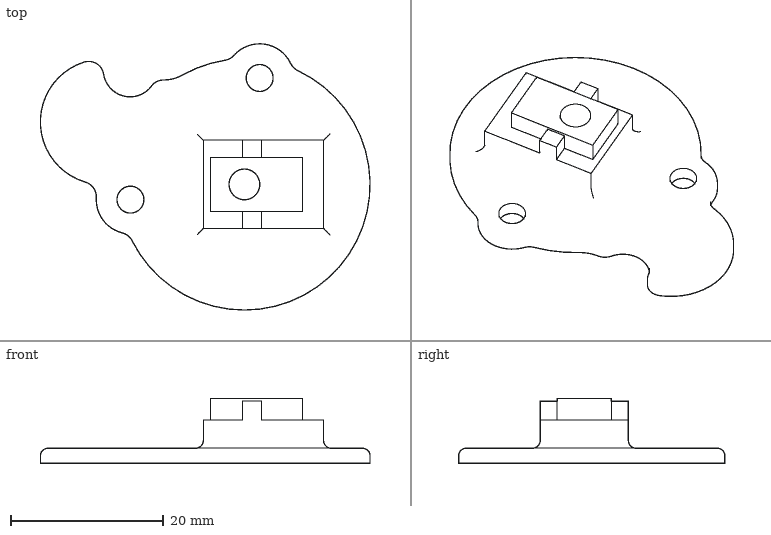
import cadquery as cq
import math

plate_thickness = 2.0
rim_radius = 1.0
disc_center = (0.0, 0.0)
disc_radius = 16.5

ear_radius = 4.5
ear_hole_diameter = 3.5
upper_ear_center = (2.0, 13.96)
lower_ear_center = (-14.95, -2.0)
blend_radius = 2.0

tail_center = (-18.53, 8.2)
tail_radius = 8.25
tail_tip_radius = 2.0
throat_center = (-15.0, 15.0)
throat_radius = 3.5
lip_radius = 2.0

neck_radius = 5.0
neck_center_angle = 119.5

hub_hole_diameter = 4.0
boss_min_x = -5.4
boss_length = 15.8
boss_width = 11.6
boss_top = 5.7
cove_radius = 1.0

block_min_x = -4.45
block_length = 12.1
block_width = 7.1
block_top = 8.52
key_min_x = -0.25
key_length = 2.5
key_top = 8.17


def circle_point(center, radius, angle):
    """Point on a circle at an angle in degrees."""
    turn = math.radians(angle)
    return (center[0] + radius * math.cos(turn), center[1] + radius * math.sin(turn))


def blend_center(center_a, distance_a, center_b, distance_b):
    """Point at the given distances from two centers, to the left of the line from a to b."""
    span_x = center_b[0] - center_a[0]
    span_y = center_b[1] - center_a[1]
    span = math.hypot(span_x, span_y)
    along = (distance_a**2 - distance_b**2 + span**2) / (2 * span)
    across = math.sqrt(distance_a**2 - along**2)
    return (
        center_a[0] + (along * span_x - across * span_y) / span,
        center_a[1] + (along * span_y + across * span_x) / span,
    )


def point_towards(center, radius, target):
    """Point on a circle in the direction of a target point."""
    reach = math.dist(center, target)
    return (
        center[0] + radius * (target[0] - center[0]) / reach,
        center[1] + radius * (target[1] - center[1]) / reach,
    )


def arc_middle(center, start, end, clockwise):
    """Point halfway along the arc from start to end."""
    start_angle = math.atan2(start[1] - center[1], start[0] - center[0])
    end_angle = math.atan2(end[1] - center[1], end[0] - center[0])
    if clockwise:
        sweep = -((start_angle - end_angle) % math.tau)
    else:
        sweep = (end_angle - start_angle) % math.tau
    return circle_point(center, math.dist(center, start), math.degrees(start_angle + sweep / 2))


def outline_arcs():
    """Arcs (center, radius, is_convex) around the plate, clockwise, each tangent to the next.

    Every joint lies on the ray from the center of an arc through the center of the next.
    """
    disc_reach = disc_radius + blend_radius
    ear_reach = ear_radius + blend_radius
    tail_reach = tail_radius + blend_radius

    upper_right = blend_center(upper_ear_center, ear_reach, disc_center, disc_reach)
    upper_left = blend_center(disc_center, disc_reach, upper_ear_center, ear_reach)
    lower_right = blend_center(disc_center, disc_reach, lower_ear_center, ear_reach)
    lower_left = blend_center(lower_ear_center, ear_reach, tail_center, tail_reach)
    tip = blend_center(
        tail_center, tail_radius - tail_tip_radius, throat_center, throat_radius + tail_tip_radius
    )
    neck = circle_point(disc_center, disc_radius + neck_radius, neck_center_angle)
    lip = blend_center(neck, neck_radius + lip_radius, throat_center, throat_radius + lip_radius)
    return [
        (disc_center, disc_radius, True),
        (lower_right, blend_radius, False),
        (lower_ear_center, ear_radius, True),
        (lower_left, blend_radius, False),
        (tail_center, tail_radius, True),
        (tip, tail_tip_radius, True),
        (throat_center, throat_radius, False),
        (lip, lip_radius, True),
        (neck, neck_radius, False),
        (disc_center, disc_radius, True),
        (upper_left, blend_radius, False),
        (upper_ear_center, ear_radius, True),
        (upper_right, blend_radius, False),
    ]


def make_plate():
    """Flat plate with a rounded upper rim."""
    arcs = outline_arcs()
    joints = []
    for i, (center, radius, _) in enumerate(arcs):
        next_center = arcs[(i + 1) % len(arcs)][0]
        joints.append(point_towards(center, radius, next_center))
    outline = cq.Workplane("XY").moveTo(*joints[-1])
    for i, (center, _, is_convex) in enumerate(arcs):
        middle = arc_middle(center, joints[i - 1], joints[i], clockwise=is_convex)
        outline = outline.threePointArc(middle, joints[i])
    plate = outline.close().extrude(plate_thickness)
    return plate.faces(">Z").edges().fillet(rim_radius)


def make_bar(min_x, length, width, bottom, top):
    """Box starting at min_x and centered on the X axis."""
    bar = cq.Workplane("XY").box(length, width, top - bottom, centered=(False, True, False))
    return bar.translate((min_x, 0, bottom))


def make_flared_prism(plane, profile_center, profile_length, depth):
    """Prism whose profile narrows from the plate up to the boss through two concave coves."""
    half_length = profile_length / 2
    cove_top = plate_thickness + cove_radius
    cove_inset = cove_radius * (1 - math.sqrt(0.5))
    return (
        cq.Workplane(plane)
        .center(profile_center, 0)
        .moveTo(-half_length - cove_radius, plate_thickness)
        .threePointArc(
            (-half_length - cove_inset, plate_thickness + cove_inset), (-half_length, cove_top)
        )
        .lineTo(half_length, cove_top)
        .threePointArc(
            (half_length + cove_inset, plate_thickness + cove_inset),
            (half_length + cove_radius, plate_thickness),
        )
        .close()
        .extrude(depth, both=True)
    )


def make_cove():
    """Cove around the foot of the boss, mitred at the corners where two prisms cross."""
    boss_center_x = boss_min_x + boss_length / 2
    along_x = make_flared_prism("XZ", boss_center_x, boss_length, boss_width)
    along_y = make_flared_prism("YZ", 0, boss_width, 2 * boss_length)
    return along_x.intersect(along_y)


def make_boss():
    """Rectangular boss carrying the block and the key that crosses it."""
    boss = make_bar(boss_min_x, boss_length, boss_width, plate_thickness, boss_top)
    block = make_bar(block_min_x, block_length, block_width, boss_top, block_top)
    key = make_bar(key_min_x, key_length, boss_width, boss_top, key_top)
    return boss.union(block).union(key)


def drill(body, center, diameter):
    """Cut a vertical hole through the full height."""
    hole = cq.Workplane("XY").center(*center).circle(diameter / 2).extrude(block_top)
    return body.cut(hole)


result = make_plate().union(make_cove()).union(make_boss())
for center in (upper_ear_center, lower_ear_center):
    result = drill(result, center, ear_hole_diameter)
result = drill(result, disc_center, hub_hole_diameter)